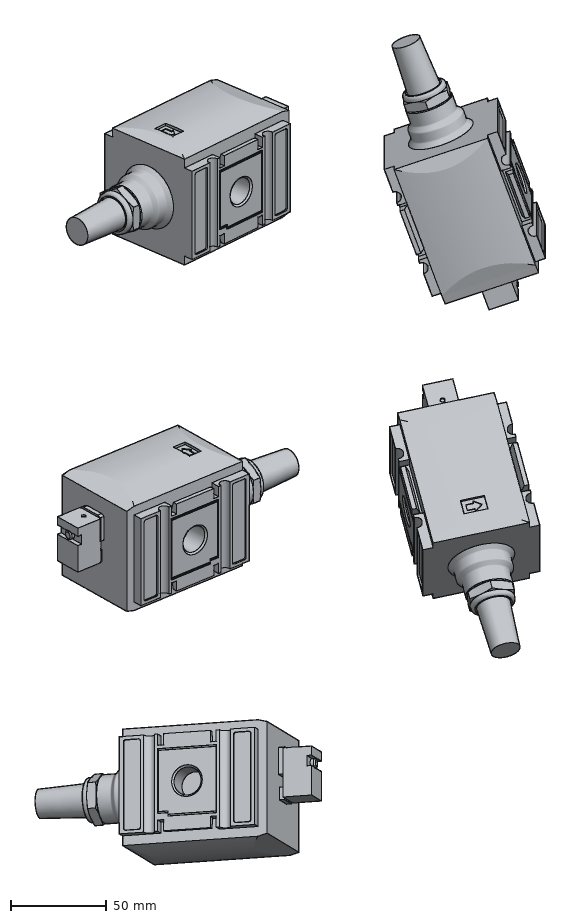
import cadquery as cq
import math


block_width = 52.0
block_length = 75.0
block_height = 62.4
crown_rise = 2.35
end_slope_length = 8.3
front_y = -block_length / 2
rear_y = block_length / 2
block_side = block_width / 2
block_top = block_height / 2
crown_top = block_top + crown_rise

cover_thickness = 5.0
cover_drop = 1.3
cover_rear_y = rear_y + cover_thickness

flange_face = 31.5
flange_height = 52.0
flange_top = flange_height / 2

groove_offset = 21.0
groove_width = 6.0
groove_depth = 3.5

pocket_offset = 30.5
pocket_width = 9.4
pocket_height = 48.4
pocket_depth = 1.0
pocket_corner = 1.2

hook_length = 25.8
hook_gap = 3.3
hook_floor = 20.0
hook_tip_thickness = 2.5
hook_root_thickness = 4.3

panel_width = 32.4
panel_height = 36.4
panel_groove_depth = 0.5
panel_side_gap = 0.2
panel_end_gap = 0.9
panel_step_width = 5.6
panel_step_height = 1.8

port_diameter = 14.95
port_chamfer = 1.0
port_depth = 14.0

arrow_y = -21.55
arrow_plate_length = 12.8
arrow_plate_width = 8.1
arrow_plate_floor = crown_top - 1.5
arrow_length = 8.3
arrow_head_length = 4.2
arrow_head_width = 6.2
arrow_shaft_width = 3.4
arrow_depth = 0.5

neck_diameter = 31.0
neck_shoulder_start = 8.2
neck_tip_diameter = 26.0
neck_tip_chamfer = 0.5
neck_length = 19.2
neck_cone_height = (neck_diameter - neck_tip_diameter) / 2
neck_root_diameter = neck_diameter + 2 * neck_cone_height
neck_shoulder_end = neck_shoulder_start + neck_cone_height
neck_blend = 1.2
thread_diameter = 20.95
thread_depth = 12.0

hex_flats = 24.0
hex_end = 24.6
hex_chamfer_angle = 15.0
collar_diameter = 24.0
collar_end = 27.7
collar_fillet = 2.0
muffler_seat_depth = 0.5
muffler_root_diameter = 18.2
muffler_tip_diameter = 15.6
muffler_end = 54.6

pilot_width = 16.4
pilot_front_y = 45.2
pilot_rear_y = 61.0
pilot_top = 19.1
pilot_bottom = -7.2
button_diameter = 2.46
button_y = 50.0
button_depth = 1.0

upper_foot_width = 15.5
upper_foot_flat = 11.3
upper_foot_top = 20.2
upper_foot_shoulder = 19.4
upper_foot_bottom = 5.2
lower_foot_width = 12.0
lower_foot_top = -1.3
lower_foot_bottom = -8.1

screw_z = 11.4
screw_head_diameter = 5.3
screw_head_chamfer = 0.8
screw_slot_height = 5.5
screw_slot_depth = 2.6


def box(x_range, y_range, z_range):
    """Axis-aligned block between the given limits."""
    size = [high - low for low, high in (x_range, y_range, z_range)]
    corner = (x_range[0], y_range[0], z_range[0])
    return cq.Workplane("XY").box(*size, centered=False).translate(corner)


def both_sides(shape):
    """The shape together with its mirror image across the YZ plane."""
    return shape.union(shape.mirror("YZ"))


def revolve_forward(profile):
    """Turn a closed (radius, distance) profile about the axis that runs forward from the front face."""
    turned = profile.close().revolve(360, (0, 0, 0), (0, 1, 0))
    return turned.mirror("XZ").translate((0, front_y, 0))


def make_block():
    """Block with domed top and bottom, whose domes run out into slopes at both ends."""
    dome = (
        cq.Workplane("XZ", origin=(0, rear_y, 0))
        .moveTo(-block_side, -block_top)
        .lineTo(-block_side, block_top)
        .threePointArc((0, crown_top), (block_side, block_top))
        .lineTo(block_side, -block_top)
        .threePointArc((0, -crown_top), (-block_side, -block_top))
        .close()
        .extrude(block_length)
    )
    slope_y = rear_y - end_slope_length
    envelope = (
        cq.Workplane("YZ", origin=(-block_side, 0, 0))
        .polyline([
            (rear_y, -block_top), (rear_y, block_top), (slope_y, crown_top), (-slope_y, crown_top),
            (front_y, block_top), (front_y, -block_top), (-slope_y, -crown_top), (slope_y, -crown_top),
        ])
        .close()
        .extrude(block_width)
    )
    return dome.intersect(envelope)


def make_cover():
    """Plate on the rear end, with its top and bottom sloping inwards."""
    rear_top = block_top - cover_drop
    return (
        cq.Workplane("YZ", origin=(-block_side, 0, 0))
        .polyline([
            (rear_y, -block_top), (rear_y, block_top), (cover_rear_y, rear_top), (cover_rear_y, -rear_top),
        ])
        .close()
        .extrude(block_width)
    )


def make_hook_gap():
    """Clearance round one upper clamping hook, on the +X flange."""
    gap_end = hook_length / 2 + hook_gap
    gap = box((block_side, flange_face), (-gap_end, gap_end), (hook_floor, flange_top))
    hook = (
        cq.Workplane("XZ", origin=(0, hook_length / 2, 0))
        .polyline([
            (flange_face, hook_floor),
            (flange_face, flange_top),
            (flange_face - hook_tip_thickness, flange_top),
            (flange_face - hook_root_thickness, hook_floor),
        ])
        .close()
        .extrude(hook_length)
    )
    return gap.cut(hook)


def panel_outline(margin_y, margin_z):
    """Stepped outline round the port, drawn in on each side by the margins."""
    half_width = panel_width / 2 - margin_y
    half_height = panel_height / 2 - margin_z
    step_y = panel_step_width - panel_width / 2
    return [
        (half_width, half_height), (-half_width, half_height),
        (-half_width, panel_step_height - half_height), (step_y, panel_step_height - half_height),
        (step_y, -half_height), (half_width, -half_height),
    ]


def make_panel_groove():
    """Narrow groove that frames the panel round the port, on the +X flange."""
    plane = cq.Workplane("YZ", origin=(flange_face - panel_groove_depth, 0, 0))
    outer = plane.polyline(panel_outline(0, 0)).close().extrude(panel_groove_depth)
    inner = plane.polyline(panel_outline(panel_side_gap, panel_end_gap)).close().extrude(panel_groove_depth)
    return outer.cut(inner)


def make_flange():
    """The +X flange with its clamp grooves, pockets, hooks and port panel."""
    flange = box((block_side, flange_face), (front_y, rear_y), (-flange_top, flange_top))
    groove_radius = groove_width / 2
    groove_centre = flange_face - groove_depth + groove_radius
    for side in (-1, 1):
        groove_y = side * groove_offset
        bottom = (
            cq.Workplane("XY", origin=(groove_centre, groove_y, -flange_top))
            .circle(groove_radius)
            .extrude(flange_height)
        )
        mouth = box(
            (groove_centre, flange_face),
            (groove_y - groove_radius, groove_y + groove_radius),
            (-flange_top, flange_top),
        )
        pocket = (
            cq.Workplane("YZ", origin=(flange_face - pocket_depth, side * pocket_offset, 0))
            .rect(pocket_width, pocket_height)
            .extrude(pocket_depth)
            .edges("|X")
            .fillet(pocket_corner)
        )
        flange = flange.cut(bottom).cut(mouth).cut(pocket)
    hook_gap_cut = make_hook_gap()
    return flange.cut(hook_gap_cut).cut(hook_gap_cut.mirror("XY")).cut(make_panel_groove())


def make_port():
    """Blind port hole with a chamfered mouth, opening on the +X flange."""
    radius = port_diameter / 2
    return (
        cq.Workplane("XY")
        .polyline([
            (flange_face - port_depth, 0), (flange_face - port_depth, radius),
            (flange_face - port_chamfer, radius), (flange_face, radius + port_chamfer), (flange_face, 0),
        ])
        .close()
        .revolve(360, (0, 0, 0), (1, 0, 0))
    )


def make_arrow_recess():
    """Rectangular recess in the top, with an arrow sunk into its floor that points to +X."""
    floor = cq.Workplane("XY", origin=(0, arrow_y, arrow_plate_floor))
    recess = floor.rect(arrow_plate_length, arrow_plate_width).extrude(crown_rise)
    tip_x = arrow_length / 2
    head_x = tip_x - arrow_head_length
    arrow = (
        floor.polyline([
            (-tip_x, -arrow_shaft_width / 2), (head_x, -arrow_shaft_width / 2),
            (head_x, -arrow_head_width / 2), (tip_x, 0), (head_x, arrow_head_width / 2),
            (head_x, arrow_shaft_width / 2), (-tip_x, arrow_shaft_width / 2),
        ])
        .close()
        .extrude(-arrow_depth)
    )
    return recess.union(arrow)


def blend_corner(profile, x, y, before, after):
    """Round the 45-degree corner at (x, y), arriving along `before` and leaving along `after`."""
    tangent = neck_blend * math.tan(math.radians(45) / 2)
    start = (x - tangent * before[0], y - tangent * before[1])
    end = (x + tangent * after[0], y + tangent * after[1])
    return profile.lineTo(*start).tangentArcPoint(end, relative=False)


def make_neck():
    """Stepped exhaust neck, with 45-degree cones that blend into its cylinders."""
    diagonal = math.sqrt(0.5)
    inward = (-diagonal, diagonal)
    forward = (0, 1)
    tip_radius = neck_tip_diameter / 2
    profile = cq.Workplane("XY").moveTo(0, 0).lineTo(neck_root_diameter / 2, 0)
    profile = blend_corner(profile, neck_diameter / 2, neck_cone_height, inward, forward)
    profile = blend_corner(profile, neck_diameter / 2, neck_shoulder_start, forward, inward)
    profile = blend_corner(profile, tip_radius, neck_shoulder_end, inward, forward)
    profile = (
        profile.lineTo(tip_radius, neck_length - neck_tip_chamfer)
        .lineTo(tip_radius - neck_tip_chamfer, neck_length)
        .lineTo(0, neck_length)
    )
    return revolve_forward(profile)


def make_thread_plug():
    """Cylinder of the silencer's thread, which fills the hole in the neck."""
    return (
        cq.Workplane("XZ", origin=(0, front_y - neck_length + thread_depth, 0))
        .circle(thread_diameter / 2)
        .extrude(thread_depth)
    )


def make_housing():
    """Block, cover, flanges and neck as one body."""
    body = make_block().union(make_cover()).union(both_sides(make_flange())).union(make_neck())
    return body.cut(both_sides(make_port())).cut(make_arrow_recess()).cut(make_thread_plug())


def make_silencer():
    """Screw-in silencer: thread, chamfered hexagon, rounded collar and tapered muffler."""
    flat_radius = hex_flats / 2
    half_sector = 30
    corner_radius = flat_radius / math.cos(math.radians(half_sector))
    chamfer = (corner_radius - flat_radius) * math.tan(math.radians(hex_chamfer_angle))
    hexagon = (
        cq.Workplane("XZ", origin=(0, front_y - neck_length, 0))
        .polygon(6, 2 * corner_radius)
        .extrude(hex_end - neck_length)
        .rotate((0, 0, 0), (0, 1, 0), half_sector)
    )
    chamfer_envelope = revolve_forward(
        cq.Workplane("XY").polyline([
            (0, neck_length), (flat_radius, neck_length), (corner_radius, neck_length + chamfer),
            (corner_radius, hex_end - chamfer), (flat_radius, hex_end), (0, hex_end),
        ])
    )
    collar_radius = collar_diameter / 2
    collar_and_muffler = revolve_forward(
        cq.Workplane("XY")
        .moveTo(0, hex_end)
        .lineTo(collar_radius, hex_end)
        .lineTo(collar_radius, collar_end - collar_fillet)
        .tangentArcPoint((collar_radius - collar_fillet, collar_end), relative=False)
        .lineTo(collar_radius - collar_fillet, collar_end - muffler_seat_depth)
        .lineTo(muffler_root_diameter / 2, collar_end - muffler_seat_depth)
        .lineTo(muffler_tip_diameter / 2, muffler_end)
        .lineTo(0, muffler_end)
    )
    return hexagon.intersect(chamfer_envelope).union(collar_and_muffler).union(make_thread_plug())


def make_pilot_feet():
    """Two feet that hold the pilot valve off the cover."""
    shoulder_x = upper_foot_width / 2
    flat_x = upper_foot_flat / 2
    upper_foot = (
        cq.Workplane("XZ", origin=(0, pilot_front_y, 0))
        .polyline([
            (-shoulder_x, upper_foot_bottom), (-shoulder_x, upper_foot_shoulder),
            (-flat_x, upper_foot_top), (flat_x, upper_foot_top),
            (shoulder_x, upper_foot_shoulder), (shoulder_x, upper_foot_bottom),
        ])
        .close()
        .extrude(pilot_front_y - cover_rear_y)
    )
    lower_foot = box(
        (-lower_foot_width / 2, lower_foot_width / 2),
        (cover_rear_y, pilot_front_y),
        (lower_foot_bottom, lower_foot_top),
    )
    return upper_foot.union(lower_foot)


def make_pilot_valve():
    """Pilot valve block with its feet, hand-override button hole and rear screw head."""
    half_width = pilot_width / 2
    block = box((-half_width, half_width), (pilot_front_y, pilot_rear_y), (pilot_bottom, pilot_top))
    button_hole = (
        cq.Workplane("XY", origin=(0, button_y, pilot_top - button_depth))
        .circle(button_diameter / 2)
        .extrude(button_depth)
    )
    slot_y = pilot_rear_y - screw_slot_depth
    slot = box(
        (-half_width, half_width),
        (slot_y, pilot_rear_y),
        (screw_z - screw_slot_height / 2, screw_z + screw_slot_height / 2),
    )
    screw_head = (
        cq.Workplane("XZ", origin=(0, pilot_rear_y, screw_z))
        .circle(screw_head_diameter / 2)
        .extrude(screw_slot_depth)
        .faces(">Y")
        .chamfer(screw_head_chamfer)
    )
    return block.cut(button_hole).cut(slot).union(screw_head).union(make_pilot_feet())


housing = make_housing()
silencer = make_silencer()
pilot_valve = make_pilot_valve()

result = cq.Compound.makeCompound([
    housing.solids().val(),
    silencer.solids().val(),
    pilot_valve.solids().val(),
])